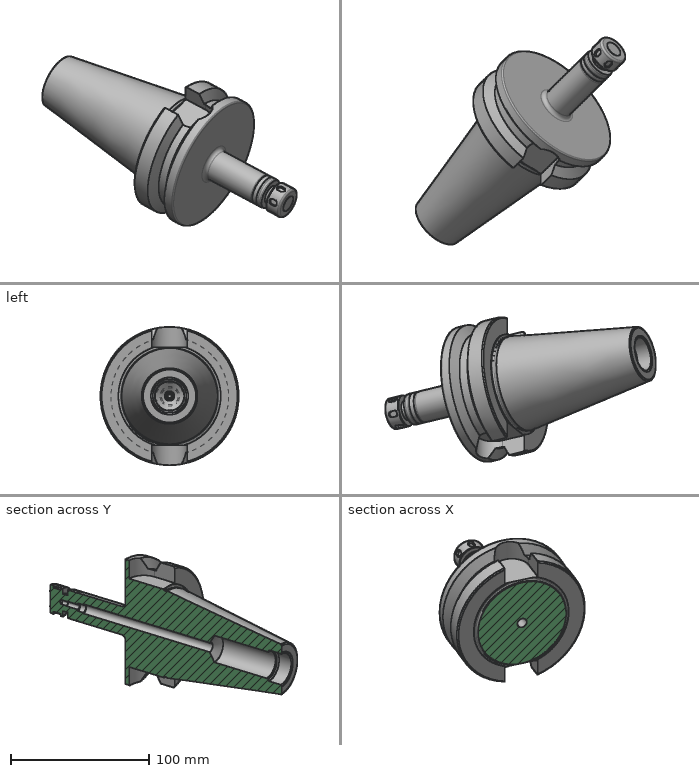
import cadquery as cq
import math


GAUGE_RADIUS = 69.85 / 2
TAPER_LENGTH = 101.8
TAPER_RATIO = 7 / 24
TAPER_SLOPE = TAPER_RATIO / 2
TAPER_END_CHAMFER = 1.0
TAPER_END_CHAMFER_LENGTH = 0.7

NECK_RAMP = 1.3
NECK_RELIEF_DEPTH = 0.4
NECK_FILLET = 1.0
FACE_RECESS_RADIUS = 74.0 / 2
FACE_RECESS_DEPTH = 0.5

FLANGE_RADIUS = 50.0
FLANGE_BACK = 3.0
FLANGE_FRONT = 38.0
FLANGE_BACK_CHAMFER = 1.0
FLANGE_FRONT_FILLET = 1.0
GROOVE_CENTRE = 23.1
GROOVE_FLOOR_WIDTH = 6.4
GROOVE_FLOOR_RADIUS = 42.5
GROOVE_SIDE_ANGLE = 30.0

KEY_WIDTH = 25.7
KEY_FLOOR = 35.4
KEY_END = 34.0

SHANK_RADIUS = 23.0 / 2
SHANK_END = 89.1
SHANK_FILLET = 3.0
SHANK_END_CHAMFER = 1.4
SHANK_END_RELIEF = 0.38
REAR_GROOVE_START = 79.5
REAR_GROOVE_END = 80.9
REAR_GROOVE_DEPTH = 0.36
FRONT_GROOVE_START = 84.5
FRONT_GROOVE_END = 85.8
FRONT_GROOVE_DEPTH = 0.06

STEM_RADIUS = 14.0 / 2
NUT_BACK = 93.3
NUT_RIM = 104.9
NUT_FRONT = 105.0
NUT_RADIUS = 23.0 / 2
NUT_BACK_CHAMFER = 0.6
NUT_BACK_RELIEF = 0.2
NUT_FRONT_FILLET = 1.5
NUT_FACE_RADIUS = 12.1 / 2

WRENCH_SLOT_COUNT = 6
WRENCH_SLOT_LENGTH = 6.6
WRENCH_SLOT_WIDTH = 4.4
WRENCH_SLOT_CENTRE = 98.6
WRENCH_SLOT_FLOOR = 9.7

MOUTH_RADIUS = 27.0 / 2
MOUTH_CHAMFER = 0.6
PILOT_RADIUS = 24.4 / 2
PILOT_DEPTH = 11.3
COLLAR_RADIUS = 21.3 / 2
COLLAR_LENGTH = 1.1
COLLAR_LEAD_IN = 0.9
THREAD_RADIUS = 21.0 / 2
THREAD_DEPTH = 60.0
DRILL_POINT_ANGLE = 118.0
CHANNEL_RADIUS = 7.0 / 2
CHANNEL_END = 75.0
SEAT_RADIUS = 5.75 / 2
SEAT_END = 80.0
SCREW_HOLE_RADIUS = 3.5 / 2
SCREW_HOLE_END = 90.0
TIP_HOLE_RADIUS = 3.0 / 2
TIP_HOLE_END = 95.0


def drill_point_length(large_radius, small_radius=0.0):
    """Axial length of a drill-point cone between two radii."""
    return (large_radius - small_radius) / math.tan(math.radians(DRILL_POINT_ANGLE / 2))


def convex_corner(profile, start, radius):
    """Quarter arc rounding an outer corner, going forward in X and in towards the axis."""
    x, r = start
    diagonal = radius * math.sqrt(0.5)
    middle = (x + diagonal, r - radius + diagonal)
    return profile.threePointArc(middle, (x + radius, r - radius))


def root_corner(profile, end, radius):
    """Quarter arc in a corner between a cylinder behind and a face ahead, ending at the face."""
    x, r = end
    inset = radius * (1 - math.sqrt(0.5))
    return profile.threePointArc((x - inset, r - radius + inset), (x, r))


def turned_body():
    small_end_radius = GAUGE_RADIUS - TAPER_LENGTH * TAPER_SLOPE
    chamfered_radius = small_end_radius + TAPER_END_CHAMFER_LENGTH * TAPER_SLOPE
    relief_radius = GAUGE_RADIUS - NECK_RELIEF_DEPTH
    recess_floor = FLANGE_BACK + FACE_RECESS_DEPTH
    groove_side = (FLANGE_RADIUS - GROOVE_FLOOR_RADIUS) * math.tan(math.radians(GROOVE_SIDE_ANGLE))
    groove_floor_back = GROOVE_CENTRE - GROOVE_FLOOR_WIDTH / 2
    groove_floor_front = GROOVE_CENTRE + GROOVE_FLOOR_WIDTH / 2
    root_middle = SHANK_FILLET * (1 - math.sqrt(0.5))

    profile = (
        cq.Workplane("XY")
        .moveTo(-TAPER_LENGTH, 0)
        .lineTo(-TAPER_LENGTH, small_end_radius - TAPER_END_CHAMFER)
        .lineTo(-TAPER_LENGTH + TAPER_END_CHAMFER_LENGTH, chamfered_radius)
        .lineTo(0, GAUGE_RADIUS)
        .lineTo(NECK_RAMP, relief_radius)
        .lineTo(recess_floor - NECK_FILLET, relief_radius)
    )
    profile = root_corner(profile, (recess_floor, relief_radius + NECK_FILLET), NECK_FILLET)
    profile = (
        profile
        .lineTo(recess_floor, FACE_RECESS_RADIUS)
        .lineTo(FLANGE_BACK, FACE_RECESS_RADIUS)
        .lineTo(FLANGE_BACK, FLANGE_RADIUS - FLANGE_BACK_CHAMFER)
        .lineTo(FLANGE_BACK + FLANGE_BACK_CHAMFER, FLANGE_RADIUS)
        .lineTo(groove_floor_back - groove_side, FLANGE_RADIUS)
        .lineTo(groove_floor_back, GROOVE_FLOOR_RADIUS)
        .lineTo(groove_floor_front, GROOVE_FLOOR_RADIUS)
        .lineTo(groove_floor_front + groove_side, FLANGE_RADIUS)
        .lineTo(FLANGE_FRONT - FLANGE_FRONT_FILLET, FLANGE_RADIUS)
    )
    profile = convex_corner(profile, (FLANGE_FRONT - FLANGE_FRONT_FILLET, FLANGE_RADIUS), FLANGE_FRONT_FILLET)
    profile = (
        profile
        .lineTo(FLANGE_FRONT, SHANK_RADIUS + SHANK_FILLET)
        .threePointArc(
            (FLANGE_FRONT + root_middle, SHANK_RADIUS + root_middle),
            (FLANGE_FRONT + SHANK_FILLET, SHANK_RADIUS),
        )
        .lineTo(REAR_GROOVE_START, SHANK_RADIUS)
        .lineTo(REAR_GROOVE_END, SHANK_RADIUS - REAR_GROOVE_DEPTH)
        .lineTo(REAR_GROOVE_END, SHANK_RADIUS)
        .lineTo(FRONT_GROOVE_START, SHANK_RADIUS)
        .lineTo(FRONT_GROOVE_START, SHANK_RADIUS - FRONT_GROOVE_DEPTH)
        .lineTo(FRONT_GROOVE_END, SHANK_RADIUS)
        .lineTo(SHANK_END - SHANK_END_CHAMFER, SHANK_RADIUS)
        .lineTo(SHANK_END, SHANK_RADIUS - SHANK_END_RELIEF)
    )
    profile = (
        profile
        .lineTo(SHANK_END, STEM_RADIUS)
        .lineTo(NUT_BACK, STEM_RADIUS)
        .lineTo(NUT_BACK, NUT_RADIUS - NUT_BACK_RELIEF)
        .lineTo(NUT_BACK + NUT_BACK_CHAMFER, NUT_RADIUS)
        .lineTo(NUT_RIM - NUT_FRONT_FILLET, NUT_RADIUS)
    )
    profile = convex_corner(profile, (NUT_RIM - NUT_FRONT_FILLET, NUT_RADIUS), NUT_FRONT_FILLET)
    profile = (
        profile
        .lineTo(NUT_RIM, NUT_FACE_RADIUS)
        .lineTo(NUT_FRONT, NUT_FACE_RADIUS)
        .lineTo(NUT_FRONT, 0)
        .close()
    )
    return profile.revolve(360, (0, 0, 0), (1, 0, 0))


def stepped_bore():
    mouth = -TAPER_LENGTH
    pilot_end = mouth + PILOT_DEPTH
    collar_start = pilot_end + COLLAR_LEAD_IN
    collar_end = collar_start + COLLAR_LENGTH
    thread_end = mouth + THREAD_DEPTH
    return (
        cq.Workplane("XY")
        .moveTo(mouth, 0)
        .lineTo(mouth, MOUTH_RADIUS)
        .lineTo(mouth + MOUTH_CHAMFER, PILOT_RADIUS)
        .lineTo(pilot_end, PILOT_RADIUS)
        .lineTo(collar_start, COLLAR_RADIUS)
        .lineTo(collar_end, COLLAR_RADIUS)
        .lineTo(collar_end, THREAD_RADIUS)
        .lineTo(thread_end, THREAD_RADIUS)
        .lineTo(thread_end + drill_point_length(THREAD_RADIUS, CHANNEL_RADIUS), CHANNEL_RADIUS)
        .lineTo(CHANNEL_END, CHANNEL_RADIUS)
        .lineTo(CHANNEL_END, SEAT_RADIUS)
        .lineTo(SEAT_END, SEAT_RADIUS)
        .lineTo(SEAT_END, SCREW_HOLE_RADIUS)
        .lineTo(SCREW_HOLE_END, SCREW_HOLE_RADIUS)
        .lineTo(SCREW_HOLE_END, TIP_HOLE_RADIUS)
        .lineTo(TIP_HOLE_END, TIP_HOLE_RADIUS)
        .lineTo(TIP_HOLE_END + drill_point_length(TIP_HOLE_RADIUS), 0)
        .close()
        .revolve(360, (0, 0, 0), (1, 0, 0))
    )


def key_slot():
    """Round-ended slot on the +Z side, open towards the taper."""
    end_radius = KEY_WIDTH / 2
    arc_start = KEY_END - end_radius
    return (
        cq.Workplane("XY")
        .workplane(offset=KEY_FLOOR)
        .moveTo(0, -end_radius)
        .lineTo(arc_start, -end_radius)
        .threePointArc((KEY_END, 0), (arc_start, end_radius))
        .lineTo(0, end_radius)
        .close()
        .extrude(FLANGE_RADIUS - KEY_FLOOR)
    )


def wrench_slot():
    """Flat-bottomed slot on the +Z side of the nut."""
    return (
        cq.Workplane("XY")
        .workplane(offset=WRENCH_SLOT_FLOOR)
        .center(WRENCH_SLOT_CENTRE, 0)
        .slot2D(WRENCH_SLOT_LENGTH, WRENCH_SLOT_WIDTH)
        .extrude(NUT_RADIUS - WRENCH_SLOT_FLOOR)
    )


def about_axis(shape, angle):
    return shape.rotate((0, 0, 0), (1, 0, 0), angle)


result = turned_body().cut(stepped_bore())
for key_angle in (0, 180):
    result = result.cut(about_axis(key_slot(), key_angle))
for index in range(WRENCH_SLOT_COUNT):
    result = result.cut(about_axis(wrench_slot(), index * 360 / WRENCH_SLOT_COUNT))